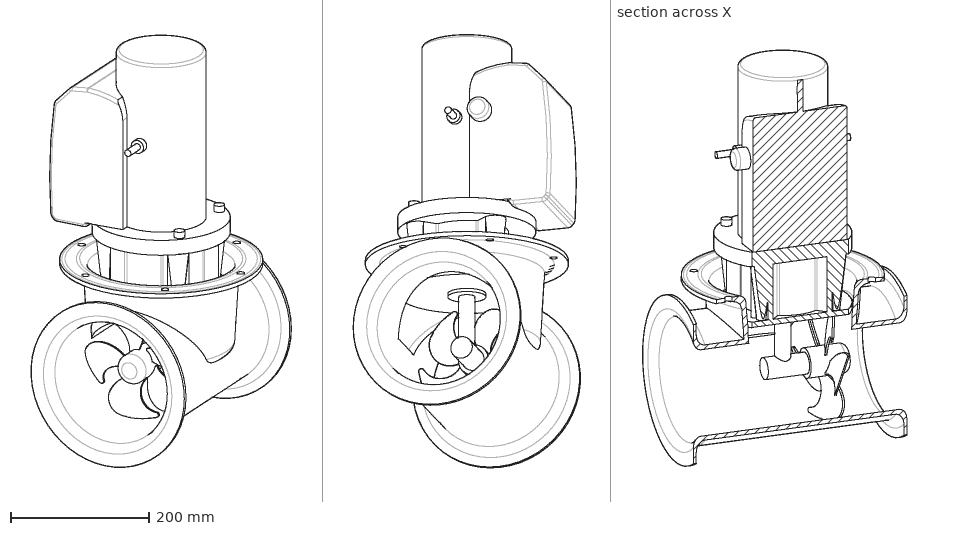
import cadquery as cq
import math

TUNNEL_LENGTH = 335.0
TUNNEL_RADIUS = 196.0 / 2
BORE_RADIUS = 185.0 / 2
END_FLANGE_RADIUS = 250.0 / 2
END_FLANGE_THICKNESS = 5.0
END_FLANGE_FILLET = 13.0
BORE_MOUTH_FILLET = 12.5

NECK_TOP = 141.0
NECK_FLANGE_RADIUS = 294.0 / 2
NECK_FLANGE_THICKNESS = 7.5
NECK_TOP_RADIUS = 113.0
NECK_BOTTOM_RADIUS = 105.5
NECK_BOTTOM = 2.5
NECK_BOTTOM_FILLET = 14.0
NECK_FLANGE_FILLET = 14.0
NECK_WALL = 6.0
NECK_FLOOR = 16.5
NECK_MOUTH_FILLET = 11.0
FACE_STEP_DEPTH = 0.5
FACE_STEP_WIDTH = 4.5
FACE_INNER_STEP_RADIUS = 118.0
FACE_OUTER_STEP_RADIUS = 139.0
NECK_BOLT_COUNT = 6
NECK_BOLT_CIRCLE_RADIUS = 129.5
NECK_BOLT_HOLE_DIAMETER = 10.5

MOTOR_PLATE_RADIUS = 200.0 / 2
MOTOR_PLATE_BOTTOM = 182.0
MOTOR_PLATE_TOP = 204.5
CORE_RADIUS = 60.5
SEAT_BOTTOM = 89.0
SEAT_TOP = 98.0
SEAT_BOSS_RADIUS = 27.5
SEAT_BOSS_BOTTOM = 84.5
SUPPORT_COUNT = 4
SUPPORT_WIDTH = 32.0
SUPPORT_REACH = 81.5
SUPPORT_TOE_RADIUS = 7.0
SUPPORT_ROOT_FILLET = 3.0
PLATE_BOLT_CIRCLE_RADIUS = 88.0
PLATE_BOLT_DIAMETER = 16.0
PLATE_BOLT_HEIGHT = 9.5
LEG_DIAMETER = 23.5
GEAR_HOUSING_DIAMETER = 32.0
GEAR_HOUSING_BACK = 29.5

MOTOR_TOP = 461.5
MOTOR_DIAMETER = 130.0
MOTOR_TOP_FILLET = 4.0
TERMINAL_Z = 336.0
TERMINAL_BOSS_DIAMETER = 20.0
TERMINAL_BOSS_END = 74.5
TERMINAL_DIAMETER = 10.0
TERMINAL_END = 104.5
COVER_HALF_WIDTH = 74.0
COVER_EDGE_FILLET = 4.5
COVER_CORNER_FILLET = 9.0
COVER_BOTTOM = 197.0
COVER_TOP = 411.0
COVER_INNER_X = -24.0
COVER_STEP_X = -84.5
COVER_STEP_RUN = 4.5
COVER_CREST_X = -82.0
COVER_SHOULDER_Z = 372.5
COVER_BOTTOM_CORNER = (-136.0, 198.0)
COVER_BACK_LOW = (-143.0, 206.5)
COVER_BACK_BULGE = (-145.0, 287.5)
COVER_BACK_HIGH = (-137.0, 381.0)
COVER_SLOPE_TOP = (-110.0, 408.0)
COVER_ROOF_MIDDLE = (-55.0, 407.5)
COVER_ROOF_END = (-34.0, 401.0)
COVER_SHOULDER = (-27.0, 387.5)
GLAND_X = -41.0
GLAND_Z = 341.0
GLAND_DIAMETER = 32.0
GLAND_END = 94.5
GLAND_FILLET = 4.5

HUB_FRONT = -99.5
HUB_BACK = -35.0
HUB_DIAMETER = 44.5
HUB_FRONT_FILLET = 10.0
BLADE_COUNT = 5
BLADE_CENTER_Y = -63.5
BLADE_THICKNESS = 3.0
BLADE_PITCH = 20.0
BLADE_MID_ANGLE = -28.0
BLADE_ROOT = (12.0, -6.0)
BLADE_HOLLOW_START = (24.5, -0.5)
BLADE_HOLLOW_EDGE = [(35.0, -12.0), (49.0, -17.0), (63.0, -16.5), (78.5, -4.0)]
BLADE_TIP = (83.0, -3.5)
BLADE_TIP_END = (85.5, -7.0)
BLADE_ROUND_EDGE = [
    (82.5, -25.0), (71.5, -50.0), (63.0, -58.5), (49.0, -62.0), (33.0, -57.5), (20.5, -44.5), (14.5, -25.0),
]


def disk(radius, bottom, top):
    """Upright cylinder around Z."""
    return cq.Workplane("XY").workplane(offset=bottom).circle(radius).extrude(top - bottom)


def cylinder_y(diameter, start, end, x=0, z=0):
    """Cylinder parallel to Y between two Y positions."""
    plane = cq.Workplane(cq.Plane((x, start, z), xDir=(1, 0, 0), normal=(0, 1, 0)))
    return plane.circle(diameter / 2).extrude(end - start)


def fillet_circles(body, circle_radius, fillet_radius):
    """Fillet every circular edge of the body that has the given radius."""
    rims = body.edges("%CIRCLE").filter(lambda edge: abs(edge.radius() - circle_radius) < 0.005)
    return rims.fillet(fillet_radius)


def make_tube():
    """Straight tunnel with a flared flange at each end."""
    end = TUNNEL_LENGTH / 2
    tube = cylinder_y(2 * TUNNEL_RADIUS, -end, end)
    for start in (-end, end - END_FLANGE_THICKNESS):
        flange = cylinder_y(2 * END_FLANGE_RADIUS, start, start + END_FLANGE_THICKNESS)
        tube = tube.union(flange)
    tube = fillet_circles(tube, TUNNEL_RADIUS, END_FLANGE_FILLET)
    tube = tube.cut(cylinder_y(2 * BORE_RADIUS, -end, end))
    return fillet_circles(tube, BORE_RADIUS, BORE_MOUTH_FILLET)


def cone(bottom_radius, top_radius, bottom, top):
    """Upright cone frustum around Z."""
    profile = [(0, bottom), (bottom_radius, bottom), (top_radius, top), (0, top)]
    return cq.Workplane("XZ").polyline(profile).close().revolve(360, (0, 0), (0, 1))


def neck_cavity():
    """Inside of the neck, parallel to its conical outside and open at the mouth."""
    slope = (NECK_TOP_RADIUS - NECK_BOTTOM_RADIUS) / (NECK_TOP - NECK_BOTTOM)
    top_radius = NECK_TOP_RADIUS - NECK_WALL
    floor_radius = top_radius - slope * (NECK_TOP - NECK_FLOOR)
    return cone(floor_radius, top_radius, NECK_FLOOR, NECK_TOP)


def flange_face_steps():
    """Shallow ring to remove so that the flange face falls outwards in two sloped steps."""
    profile = [
        (FACE_INNER_STEP_RADIUS, NECK_TOP),
        (FACE_INNER_STEP_RADIUS + FACE_STEP_WIDTH, NECK_TOP - FACE_STEP_DEPTH),
        (FACE_OUTER_STEP_RADIUS, NECK_TOP - FACE_STEP_DEPTH),
        (FACE_OUTER_STEP_RADIUS + FACE_STEP_WIDTH, NECK_TOP - 2 * FACE_STEP_DEPTH),
        (NECK_FLANGE_RADIUS, NECK_TOP - 2 * FACE_STEP_DEPTH),
        (NECK_FLANGE_RADIUS, NECK_TOP),
    ]
    return cq.Workplane("XZ").polyline(profile).close().revolve(360, (0, 0), (0, 1))


def make_neck():
    """Flanged conical neck, hollow and open to the tunnel bore."""
    flange_bottom = NECK_TOP - NECK_FLANGE_THICKNESS
    neck = cone(NECK_BOTTOM_RADIUS, NECK_TOP_RADIUS, NECK_BOTTOM, flange_bottom)
    neck = neck.union(disk(NECK_FLANGE_RADIUS, flange_bottom, NECK_TOP))
    neck = neck.faces("<Z").edges().fillet(NECK_BOTTOM_FILLET)
    neck = fillet_circles(neck, NECK_TOP_RADIUS, NECK_FLANGE_FILLET)

    neck = neck.cut(neck_cavity())
    neck = fillet_circles(neck, NECK_TOP_RADIUS - NECK_WALL, NECK_MOUTH_FILLET)

    neck = neck.cut(flange_face_steps())

    holes = (
        cq.Workplane("XY")
        .workplane(offset=flange_bottom)
        .polarArray(NECK_BOLT_CIRCLE_RADIUS, 0, 360, NECK_BOLT_COUNT)
        .circle(NECK_BOLT_HOLE_DIAMETER / 2)
        .extrude(NECK_FLANGE_THICKNESS)
    )
    neck = neck.cut(holes)
    return neck.cut(cylinder_y(2 * BORE_RADIUS, -TUNNEL_LENGTH / 2, TUNNEL_LENGTH / 2))


def make_tunnel():
    """Tunnel tube and neck as one body."""
    return make_tube().cut(neck_cavity()).union(make_neck())


def make_supports():
    """Core under the motor plate with radial ribs, each rib ending in a tapered round nose."""
    supports = disk(CORE_RADIUS, SEAT_TOP, MOTOR_PLATE_BOTTOM)
    nose = cone(SUPPORT_TOE_RADIUS, SUPPORT_WIDTH / 2, SEAT_TOP, MOTOR_PLATE_BOTTOM)
    nose = nose.translate((SUPPORT_REACH, 0, 0))
    rib = (
        cq.Workplane("XY")
        .workplane(offset=SEAT_TOP)
        .center(SUPPORT_REACH / 2, 0)
        .rect(SUPPORT_REACH, SUPPORT_WIDTH)
        .extrude(MOTOR_PLATE_BOTTOM - SEAT_TOP)
    )
    angles = [45 + index * 360 / SUPPORT_COUNT for index in range(SUPPORT_COUNT)]
    for angle in angles:
        supports = supports.union(rib.rotate((0, 0, 0), (0, 0, 1), angle))

    roots = supports.edges("|Z").filter(
        lambda edge: math.hypot(edge.Center().x, edge.Center().y) < CORE_RADIUS + 0.05)
    supports = roots.fillet(SUPPORT_ROOT_FILLET)
    for angle in angles:
        supports = supports.union(nose.rotate((0, 0, 0), (0, 0, 1), angle))
    return supports


def make_drive_leg(cover):
    """Motor plate, its supports, the seat plate and the gear leg, as one body."""
    body = disk(MOTOR_PLATE_RADIUS, MOTOR_PLATE_BOTTOM, MOTOR_PLATE_TOP).cut(cover)
    body = body.union(make_supports())
    body = body.union(disk(MOTOR_PLATE_RADIUS, SEAT_BOTTOM, SEAT_TOP))
    body = body.union(disk(SEAT_BOSS_RADIUS, SEAT_BOSS_BOTTOM, SEAT_BOTTOM))

    bolt_offset = PLATE_BOLT_CIRCLE_RADIUS * math.sqrt(0.5)
    bolt = disk(PLATE_BOLT_DIAMETER / 2, MOTOR_PLATE_TOP, MOTOR_PLATE_TOP + PLATE_BOLT_HEIGHT)
    for side in (-1, 1):
        body = body.union(bolt.translate((bolt_offset, side * bolt_offset, 0)))

    body = body.union(disk(LEG_DIAMETER / 2, 0, SEAT_BOSS_BOTTOM))
    return body.union(cylinder_y(GEAR_HOUSING_DIAMETER, HUB_BACK, GEAR_HOUSING_BACK))


def make_cover():
    """Control cover on the -X side, with a lip that drops below the motor plate's top."""
    outline = (
        cq.Workplane("XZ", origin=(0, COVER_HALF_WIDTH, 0))
        .moveTo(COVER_INNER_X, MOTOR_PLATE_TOP)
        .lineTo(COVER_STEP_X + COVER_STEP_RUN, MOTOR_PLATE_TOP)
        .lineTo(COVER_STEP_X, COVER_BOTTOM)
        .lineTo(*COVER_BOTTOM_CORNER)
        .lineTo(*COVER_BACK_LOW)
        .threePointArc(COVER_BACK_BULGE, COVER_BACK_HIGH)
        .lineTo(*COVER_SLOPE_TOP)
        .lineTo(COVER_CREST_X, COVER_TOP)
        .threePointArc(COVER_ROOF_MIDDLE, COVER_ROOF_END)
        .threePointArc(COVER_SHOULDER, (COVER_INNER_X, COVER_SHOULDER_Z))
        .close()
    )
    cover = outline.extrude(2 * COVER_HALF_WIDTH)

    corners = cover.edges("|Y").filter(lambda edge: edge.Center().x <= COVER_CREST_X + 0.005)
    cover = corners.fillet(COVER_CORNER_FILLET)
    side_rims = cover.faces("<Y or >Y").edges()
    outer_rims = side_rims.filter(lambda edge: edge.Center().x < COVER_STEP_X - COVER_EDGE_FILLET)
    return outer_rims.fillet(COVER_EDGE_FILLET)


def make_gland():
    """Round-nosed cable gland on the +Y side of the cover."""
    gland = cylinder_y(GLAND_DIAMETER, COVER_HALF_WIDTH, GLAND_END, x=GLAND_X, z=GLAND_Z)
    return gland.faces(">Y").edges().fillet(GLAND_FILLET)


def make_motor(cover):
    """Motor can with its terminals on both Y sides, joined to the cover and gland."""
    motor = disk(MOTOR_DIAMETER / 2, MOTOR_PLATE_TOP, MOTOR_TOP)
    motor = motor.faces(">Z").edges().fillet(MOTOR_TOP_FILLET)
    terminals = (
        (TERMINAL_BOSS_DIAMETER, TERMINAL_BOSS_END),
        (TERMINAL_DIAMETER, TERMINAL_END),
    )
    for diameter, end in terminals:
        motor = motor.union(cylinder_y(diameter, -end, end, z=TERMINAL_Z))
    return motor.union(cover).union(make_gland())


def make_blade():
    """One scimitar blade: its axial outline cut from a pitched flat plate."""
    outline = (
        cq.Workplane("XZ", origin=(0, HUB_BACK, 0))
        .moveTo(*BLADE_ROOT)
        .lineTo(*BLADE_HOLLOW_START)
        .spline(BLADE_HOLLOW_EDGE, includeCurrent=True)
        .threePointArc(BLADE_TIP, BLADE_TIP_END)
        .spline(BLADE_ROUND_EDGE, includeCurrent=True)
        .close()
        .extrude(HUB_BACK - HUB_FRONT)
    )
    plate = (
        cq.Workplane("XY")
        .box(2 * BORE_RADIUS, BLADE_THICKNESS, 2 * BORE_RADIUS)
        .rotate((0, 0, 0), (1, 0, 0), -BLADE_PITCH)
        .rotate((0, 0, 0), (0, 1, 0), -BLADE_MID_ANGLE)
        .translate((0, BLADE_CENTER_Y, 0))
    )
    return outline.intersect(plate)


def make_propeller():
    propeller = cylinder_y(HUB_DIAMETER, HUB_FRONT, HUB_BACK)
    propeller = propeller.faces("<Y").edges().fillet(HUB_FRONT_FILLET)
    blade = make_blade()
    for index in range(BLADE_COUNT):
        angle = index * 360 / BLADE_COUNT
        propeller = propeller.union(blade.rotate((0, 0, 0), (0, 1, 0), angle))
    return propeller


cover = make_cover()
tunnel = make_tunnel()
drive_leg = make_drive_leg(cover)
motor = make_motor(cover)
propeller = make_propeller()

result = cq.Compound.makeCompound(
    [tunnel.val(), drive_leg.val(), motor.val(), propeller.val()]
)